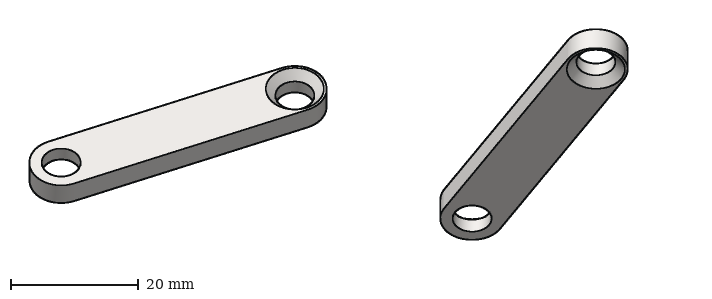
import cadquery as cq

width = 10.0
length = 50.0
thickness = 4.0
hole_diameter = 6.1
countersink_depth = 1.5
countersink_angle = 90.0

countersink_diameter = hole_diameter + 2 * countersink_depth
hole_offset = (length - width) / 2


def make_bar():
    """Strip with full-radius ends, standing on Z = 0 and running along Y."""
    return cq.Workplane("XY").slot2D(length, width, angle=90).extrude(thickness)


def cut_countersunk_hole(bar, face, y):
    """Through hole on the bar's centre line at y, countersunk from the given face."""
    face_plane = bar.faces(face).workplane(origin=(0, y, 0))
    return face_plane.cskHole(hole_diameter, countersink_diameter, countersink_angle)


bar = make_bar()
bar = cut_countersunk_hole(bar, ">Z", hole_offset)
bar = cut_countersunk_hole(bar, "<Z", -hole_offset)

result = bar